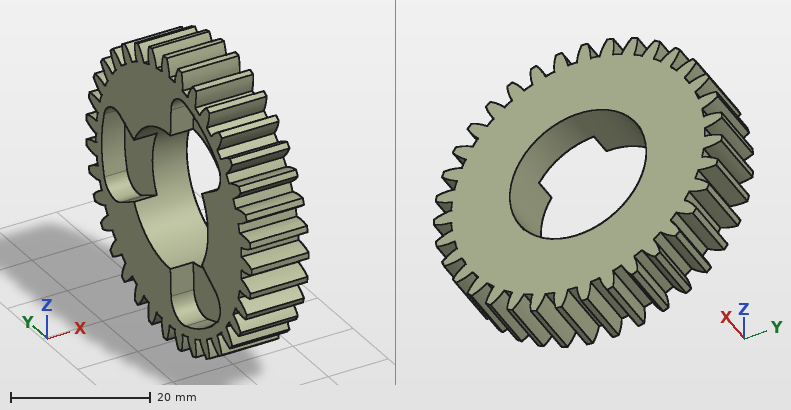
import cadquery as cq
import math

tooth_count = 35
outer_radius = 23.5
root_radius = 20.65
face_width = 9.55
bore_diameter = 22.2

module = 2 * outer_radius / (tooth_count + 2)
pitch_radius = module * tooth_count / 2
tooth_pitch_angle = 2 * math.pi / tooth_count

root_thickness = 2.25
pitch_thickness = 1.85
tip_thickness = 1.0

pocket_count = 3
pocket_diameter = 38.1
pocket_radius = pocket_diameter / 2
pocket_half_angle = math.radians(27.6)
pocket_corner_radius = 3.2
pocket_depth = 3.8


def polar(radius, angle):
    """Point in the YZ plane, with the angle measured from +Y towards +Z."""
    return (radius * math.cos(angle), radius * math.sin(angle))


def half_angle(thickness, radius):
    """Half of the angle that a tooth of the given thickness covers at a radius."""
    return math.asin(thickness / 2 / radius)


def gear_blank():
    """Toothed disc with one tooth centred on -Y."""
    root_half = half_angle(root_thickness, root_radius)
    pitch_half = half_angle(pitch_thickness, pitch_radius)
    tip_half = half_angle(tip_thickness, outer_radius)

    profile = cq.Workplane("YZ").moveTo(*polar(root_radius, math.pi - root_half))
    for tooth in range(tooth_count):
        centre = math.pi + tooth * tooth_pitch_angle
        gap_centre = centre + tooth_pitch_angle / 2
        next_tooth = centre + tooth_pitch_angle
        profile = (
            profile
            .threePointArc(polar(pitch_radius, centre - pitch_half), polar(outer_radius, centre - tip_half))
            .threePointArc(polar(outer_radius, centre), polar(outer_radius, centre + tip_half))
            .threePointArc(polar(pitch_radius, centre + pitch_half), polar(root_radius, centre + root_half))
            .threePointArc(polar(root_radius, gap_centre), polar(root_radius, next_tooth - root_half))
        )
    return profile.close().extrude(face_width)


def pocket():
    """Sector centred on +Y with radial sides and rounded outer corners."""
    sector = (
        cq.Workplane("YZ")
        .lineTo(*polar(pocket_radius, -pocket_half_angle))
        .threePointArc((pocket_radius, 0), polar(pocket_radius, pocket_half_angle))
        .close()
        .extrude(pocket_depth)
    )
    return sector.edges("|X").edges("<Z or >Z").fillet(pocket_corner_radius)


bore = cq.Workplane("YZ").circle(bore_diameter / 2).extrude(face_width)
result = gear_blank().cut(bore)
for index in range(pocket_count):
    result = result.cut(pocket().rotate((0, 0, 0), (1, 0, 0), index * 360 / pocket_count))